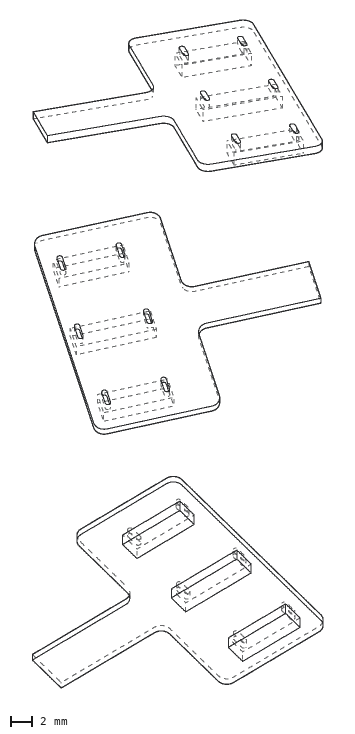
import cadquery as cq

total_length = 24.12
head_width = 23.0
head_length = 12.1
stem_width = 4.37
plate_thickness = 0.8
corner_radius = 1.01

block_width = 2.17
block_pitch = 7.98
block_line_from_edge = 4.73
side_block_length = 6.75
side_block_height = 1.35
middle_block_length = 7.72
middle_block_height = 1.28

slot_length = 1.71
slot_width = 0.5
slot_inset = 0.53

stem_length = total_length - head_length
block_line_y = head_length - block_line_from_edge

blocks_layout = [
    (-block_pitch, side_block_length, side_block_height),
    (0, middle_block_length, middle_block_height),
    (block_pitch, side_block_length, side_block_height),
]


def make_plate():
    half_head = head_width / 2
    half_stem = stem_width / 2
    outline = [
        (-half_head, head_length),
        (half_head, head_length),
        (half_head, 0),
        (half_stem, 0),
        (half_stem, -stem_length),
        (-half_stem, -stem_length),
        (-half_stem, 0),
        (-half_head, 0),
    ]
    plate = cq.Workplane("XY").polyline(outline).close().extrude(-plate_thickness)

    plate = plate.edges("|Z").edges(cq.selectors.BoxSelector(
        (-head_width, -corner_radius, -plate_thickness),
        (head_width, total_length, 0),
    )).fillet(corner_radius)

    slot_centres = [
        (x, block_line_y + side * (length / 2 - slot_inset))
        for x, length, _ in blocks_layout
        for side in (-1, 1)
    ]
    slots = (
        cq.Workplane("XY")
        .pushPoints(slot_centres)
        .slot2D(slot_length, slot_width)
        .extrude(-plate_thickness)
    )
    return plate.cut(slots).solids()


def make_block(x, length, height):
    return (
        cq.Workplane("XY", origin=(x, block_line_y, -plate_thickness))
        .rect(block_width, length)
        .extrude(-height)
    )


plate = make_plate()
blocks = [make_block(x, length, height) for x, length, height in blocks_layout]

result = cq.Compound.makeCompound([plate.val(), *[block.val() for block in blocks]])